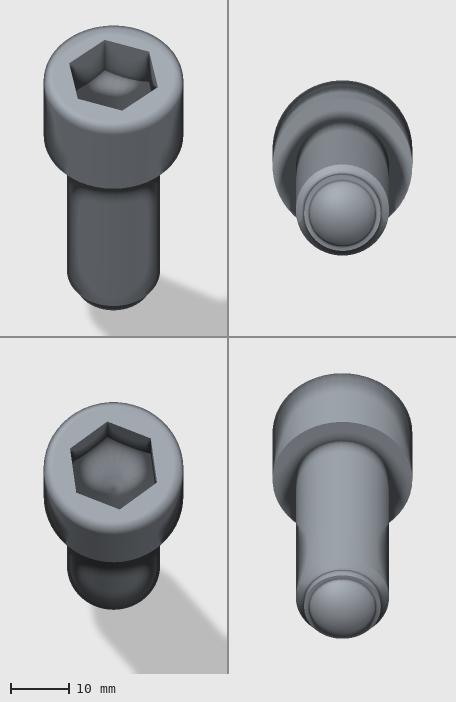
import cadquery as cq
import math

total_length = 59.3
head_diameter = 24.0
head_height = 16.0
head_fillet = 1.6

shank_diameter = 16.0
shank_straight_length = 36.1
chamfer_size = 1.3
collar_diameter = 13.15
collar_height = 1.55

hex_across_flats = 14.0
socket_depth = 8.05
drill_point_angle = 120.0

ball_diameter = 12.0

head_bottom = total_length - head_height
chamfer_top = head_bottom - shank_straight_length
collar_top = chamfer_top - chamfer_size
collar_bottom = collar_top - collar_height
ball_center_z = ball_diameter / 2


def make_screw_blank():
    """Revolve the head, shank, chamfer and collar as one profile."""
    shank_radius = shank_diameter / 2
    head_radius = head_diameter / 2
    chamfer_end_radius = shank_radius - chamfer_size
    collar_radius = collar_diameter / 2
    profile = (
        cq.Workplane("XZ")
        .moveTo(0, collar_bottom)
        .lineTo(collar_radius, collar_bottom)
        .lineTo(collar_radius, collar_top)
        .lineTo(chamfer_end_radius, collar_top)
        .lineTo(shank_radius, chamfer_top)
        .lineTo(shank_radius, head_bottom)
        .lineTo(head_radius, head_bottom)
        .lineTo(head_radius, total_length)
        .lineTo(0, total_length)
        .close()
    )
    blank = profile.revolve(360, (0, 0, 0), (0, 1, 0))
    return blank.faces(">Z").edges().fillet(head_fillet)


def make_hex_socket():
    """Hexagonal prism whose lower end is trimmed to a conical point."""
    across_corners = hex_across_flats / math.cos(math.radians(30))
    corner_radius = across_corners / 2
    point_depth = corner_radius / math.tan(math.radians(drill_point_angle / 2))
    cone_base_z = total_length - socket_depth
    point_z = cone_base_z - point_depth
    prism = (
        cq.Workplane("XY", origin=(0, 0, point_z))
        .polygon(6, across_corners)
        .extrude(total_length - point_z)
    )
    drill_shape = (
        cq.Workplane("XZ")
        .moveTo(0, point_z)
        .lineTo(corner_radius, cone_base_z)
        .lineTo(corner_radius, total_length)
        .lineTo(0, total_length)
        .close()
        .revolve(360, (0, 0, 0), (0, 1, 0))
    )
    return prism.intersect(drill_shape)


def make_ball():
    """Full sphere that protrudes from the lower end of the screw."""
    return cq.Workplane("XY", origin=(0, 0, ball_center_z)).sphere(ball_diameter / 2)


ball = make_ball()
screw = make_screw_blank().cut(make_hex_socket()).cut(ball)

result = cq.Compound.makeCompound([screw.solids().val(), ball.val()])